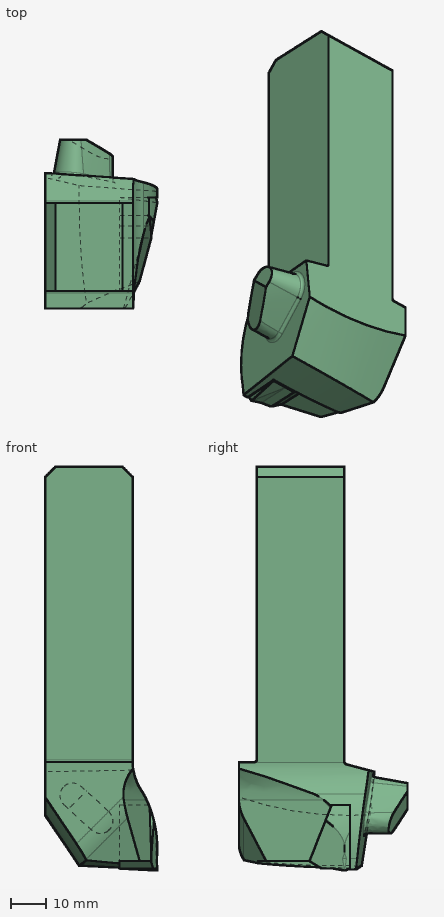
import cadquery as cq
import math


TOTAL_HEIGHT = 115
SHANK_SIDE = 25.0
SHANK_Y = 5.1
SHANK_CHAMFER = 3.0
FRONT_LEDGE_FILLET = 0.6
BACK_LEDGE_FILLET = 0.9
STUB_RISE = 1.7

FRONT_LEDGE_Z = 30.9
BACK_LEDGE_Z = 30.5
BACK_LEDGE_END = (38.6, 28.2)
HEAD_BACK_Y = 41.4
LEFT_CORNER_Z = 15.8
HEEL = (9.7, 1.4)
TOE_BOTTOM_Z = 0.3
TOE_X = 31.9
FLANK_TOP_Z = 30.8
FLANK_MIDDLE = (26.0, 25.5)
FLANK_CREST = (28.1, 21.8)
TOE_MIDDLE = (30.8, 15.0)
TOE_TOP_Z = 3.5

BACK_SLOPE_X = 0.07
BACK_SLOPE_Z = 0.11

RELIEF_CENTRE_Y = 30.7
LEFT_RELIEF_RADIUS = 163.3
BOTTOM_RELIEF_RADIUS = 253

FACET_START = (9.2, 7.9)
FACET_TILT = 30
FACET_DIRECTION = 45
BAND_RADIUS = 10.1

CHIP_FACE_POINT = (22.3, 20.7)
CHIP_DRIFT = 0.27
CHIP_FACE_LEAN = 0.14
GULLET_START_Z = 20.1
GULLET_END = (25.2, 29.2)

INSERT_LEFT_X = 21.2
INSERT_FRONT_X = 30.1
INSERT_BACK_X = 31.6
INSERT_FRONT_Y = 20.1
INSERT_TOP_FRONT_Y = 26.5
INSERT_BACK_Y = 31.6
INSERT_TOP_Z = 18.7
INSERT_LIP_Z = 2.8
INSERT_LIP_END_Y = 23.6
INSERT_BOTTOM_Z = 0.6
INSERT_LAND_Y = 26.9
TIP = (32.0, 30.1)

BOSS_ROUND = (7.8, 21.4)
BOSS_END = (15.8, 14.1)
BOSS_RADIUS = 3.6
BOSS_TIP_Y = 48.1
BOSS_ROOT_Y = 34.0
BOSS_ROOT_SHIFT = 1.0
BOSS_ROOT_GROWTH = 1.8
BOSS_FILLET = 0.9
BOSS_BEVEL_POINT = (11.6, 22.5)
BOSS_BEVEL_SLOPE = 0.31

MARGIN = 11.5
FAR = 69


def outside(point, normal):
    """A large block that fills the side of a plane towards which its normal points."""
    plane = cq.Plane(origin=point, normal=normal)
    return cq.Workplane(plane).rect(4 * FAR, 4 * FAR).extrude(2 * FAR)


def make_shank():
    return (
        cq.Workplane("XY")
        .box(SHANK_SIDE, SHANK_SIDE, TOTAL_HEIGHT - FRONT_LEDGE_Z - STUB_RISE, centered=False)
        .translate((0, SHANK_Y, FRONT_LEDGE_Z + STUB_RISE))
        .faces(">Z")
        .edges("|Y")
        .chamfer(SHANK_CHAMFER)
    )


def side_profile():
    """Head and stub of the shank, outlined in YZ."""
    stub_top = FRONT_LEDGE_Z + STUB_RISE
    shank_back = SHANK_Y + SHANK_SIDE
    body = (
        cq.Workplane("YZ")
        .moveTo(0, -MARGIN)
        .lineTo(0, FRONT_LEDGE_Z)
        .lineTo(SHANK_Y, FRONT_LEDGE_Z)
        .lineTo(SHANK_Y, stub_top)
        .lineTo(shank_back, stub_top)
        .lineTo(shank_back, BACK_LEDGE_Z)
        .lineTo(*BACK_LEDGE_END)
        .lineTo(HEAD_BACK_Y, BACK_LEDGE_END[1])
        .lineTo(HEAD_BACK_Y, -MARGIN)
        .close()
        .extrude(FAR)
    )
    front_root = cq.selectors.NearestToPointSelector((FAR / 2, SHANK_Y, FRONT_LEDGE_Z))
    back_root = cq.selectors.NearestToPointSelector((FAR / 2, shank_back, BACK_LEDGE_Z))
    body = body.edges(front_root).fillet(FRONT_LEDGE_FILLET)
    return body.edges(back_root).fillet(BACK_LEDGE_FILLET)


def front_profile():
    """Head outlined in XZ: flank with a hollow below the shank and a bulging toe."""
    stub_top = FRONT_LEDGE_Z + STUB_RISE
    return (
        cq.Workplane("XZ")
        .moveTo(0, stub_top)
        .lineTo(SHANK_SIDE, stub_top)
        .lineTo(SHANK_SIDE, FLANK_TOP_Z)
        .threePointArc(FLANK_MIDDLE, FLANK_CREST)
        .threePointArc(TOE_MIDDLE, (TOE_X, TOE_TOP_Z))
        .lineTo(TOE_X, TOE_BOTTOM_Z)
        .lineTo(*HEEL)
        .lineTo(0, LEFT_CORNER_Z)
        .close()
        .extrude(-HEAD_BACK_Y)
    )


def relief_cylinder(start, end, radius):
    """A cylinder that touches the XZ line from start to end, with the head on its inner side."""
    dx = end[0] - start[0]
    dz = end[1] - start[1]
    length = math.hypot(dx, dz)
    axis = cq.Vector(dx / length, 0, dz / length)
    inward = cq.Vector(-dz / length, 0, dx / length)
    touch = cq.Vector(start[0], RELIEF_CENTRE_Y, start[1])
    base = touch + inward * radius - axis * (2 * FAR)
    return cq.Workplane(cq.Solid.makeCylinder(radius, 4 * FAR, base, axis))


def facet_cutter():
    """Prism in front of the rounded band and the tilted facet."""
    tilt = math.radians(FACET_TILT)
    direction = math.radians(FACET_DIRECTION)
    band_end = BAND_RADIUS * math.sin(tilt)
    band_depth = BAND_RADIUS * (1 - math.cos(tilt))
    half = tilt / 2
    band_middle = (BAND_RADIUS * math.sin(half), BAND_RADIUS * (1 - math.cos(half)))
    plane = cq.Plane(
        origin=(FACET_START[0], 0, FACET_START[1]),
        xDir=(math.sin(direction), 0, -math.cos(direction)),
        normal=(math.cos(direction), 0, math.sin(direction)),
    )
    return (
        cq.Workplane(plane)
        .moveTo(0, 0)
        .threePointArc(band_middle, (band_end, band_depth))
        .lineTo(FAR, band_depth + (FAR - band_end) * math.tan(tilt))
        .lineTo(FAR, -MARGIN)
        .lineTo(0, -MARGIN)
        .close()
        .extrude(FAR, both=True)
    )


def chip_cutter():
    """Oblique prism on the +X side of the chip face and the gullet above it."""

    def chip_face_x(z):
        return CHIP_FACE_POINT[0] - CHIP_FACE_LEAN * (z - CHIP_FACE_POINT[1])

    profile = (
        cq.Workplane("XZ")
        .moveTo(chip_face_x(-MARGIN), -MARGIN)
        .lineTo(chip_face_x(GULLET_START_Z), GULLET_START_Z)
        .tangentArcPoint(GULLET_END, relative=False)
        .lineTo(FAR, FAR)
        .lineTo(FAR, -MARGIN)
        .close()
        .wires()
        .val()
    )
    drift = cq.Vector(CHIP_DRIFT, 1, 0)
    start = profile.translate(drift * -MARGIN)
    return cq.Workplane(cq.Solid.extrudeLinear(start, [], drift * FAR))


def boss_section(shift, growth, y):
    """Outline around two circles; the upper left one is moved outwards and enlarged."""
    dx = BOSS_END[0] - BOSS_ROUND[0]
    dz = BOSS_END[1] - BOSS_ROUND[1]
    length = math.hypot(dx, dz)
    along = (dx / length, dz / length)
    big = (BOSS_ROUND[0] - shift * along[0], BOSS_ROUND[1] - shift * along[1])
    big_radius = BOSS_RADIUS + growth
    slope = math.asin(growth / (length + shift))
    direction = math.atan2(dz, dx)
    upper = direction + math.pi / 2 - slope
    lower = direction - math.pi / 2 + slope

    def on_circle(centre, radius, angle):
        return (centre[0] + radius * math.cos(angle), centre[1] + radius * math.sin(angle))

    return (
        cq.Workplane("XZ", origin=(0, y, 0))
        .moveTo(*on_circle(big, big_radius, lower))
        .threePointArc(
            on_circle(big, big_radius, direction + math.pi),
            on_circle(big, big_radius, upper),
        )
        .lineTo(*on_circle(BOSS_END, BOSS_RADIUS, upper))
        .threePointArc(
            on_circle(BOSS_END, BOSS_RADIUS, direction),
            on_circle(BOSS_END, BOSS_RADIUS, lower),
        )
        .close()
        .wires()
        .val()
    )


def make_boss():
    """Boss lofted from its root to its flat tip, with a bevel falling to the lower right."""
    tip = boss_section(0, 0, BOSS_TIP_Y)
    root = boss_section(BOSS_ROOT_SHIFT, BOSS_ROOT_GROWTH, BOSS_ROOT_Y)
    boss = cq.Workplane(cq.Solid.makeLoft([root, tip], True))
    bevel_point = (BOSS_BEVEL_POINT[0], BOSS_TIP_Y, BOSS_BEVEL_POINT[1])
    return boss.cut(outside(bevel_point, (BOSS_BEVEL_SLOPE, 1, -BOSS_BEVEL_SLOPE)))


def insert_block(reach):
    """Insert without its flank, its leaning outer side pushed out by reach."""
    side = (
        cq.Workplane("YZ", origin=(INSERT_LEFT_X, 0, 0))
        .moveTo(INSERT_FRONT_Y, INSERT_LIP_Z)
        .lineTo(INSERT_LIP_END_Y, INSERT_BOTTOM_Z)
        .lineTo(INSERT_LAND_Y, INSERT_BOTTOM_Z)
        .lineTo(TIP[1], 0)
        .lineTo(INSERT_BACK_Y, INSERT_BOTTOM_Z)
        .lineTo(INSERT_BACK_Y, INSERT_TOP_Z)
        .lineTo(INSERT_TOP_FRONT_Y, INSERT_TOP_Z)
        .close()
        .extrude(FAR)
    )
    plan = (
        cq.Workplane("XY")
        .moveTo(INSERT_LEFT_X, INSERT_FRONT_Y)
        .lineTo(INSERT_FRONT_X + reach, INSERT_FRONT_Y)
        .lineTo(TIP[0] + reach, TIP[1])
        .lineTo(INSERT_BACK_X + reach, INSERT_BACK_Y)
        .lineTo(INSERT_LEFT_X, INSERT_BACK_Y)
        .close()
        .extrude(INSERT_TOP_Z)
    )
    return side.intersect(plan)


def make_head():
    head = front_profile().intersect(side_profile())
    head = head.intersect(relief_cylinder((0, LEFT_CORNER_Z), HEEL, LEFT_RELIEF_RADIUS))
    head = head.intersect(relief_cylinder(HEEL, (TOE_X, TOE_BOTTOM_Z), BOTTOM_RELIEF_RADIUS))
    back_point = (0, *BACK_LEDGE_END)
    head = head.cut(outside(back_point, (BACK_SLOPE_X, 1, -BACK_SLOPE_Z)))
    return head.cut(facet_cutter()).cut(chip_cutter())


def make_holder():
    """Head, boss and shank in one piece, with the seat of the insert cut out."""
    head = make_head()
    with_boss = head.union(make_boss())
    back_face = next(face for face in with_boss.faces().vals() if face.innerWires())
    boss_foot = with_boss.newObject(back_face.innerWires()[0].Edges())
    holder = boss_foot.fillet(BOSS_FILLET).union(make_shank()).clean()
    clearance = cq.Workplane("XY").box(FAR, INSERT_BACK_Y, INSERT_LIP_Z, centered=False)
    holder = holder.cut(clearance.translate((INSERT_LEFT_X, 0, 0)))
    return holder.cut(insert_block(MARGIN))


def make_insert():
    """Insert block whose flank follows the bulging toe of the head."""
    flank = (
        cq.Workplane("XZ")
        .moveTo(INSERT_LEFT_X, INSERT_BOTTOM_Z)
        .lineTo(TIP[0], 0)
        .lineTo(TOE_X, TOE_TOP_Z)
        .threePointArc(TOE_MIDDLE, FLANK_CREST)
        .lineTo(INSERT_LEFT_X, FLANK_CREST[1])
        .close()
        .extrude(-HEAD_BACK_Y)
    )
    return insert_block(0).intersect(flank)


holder = make_holder()
insert = make_insert()
result = cq.Compound.makeCompound([*holder.vals(), *insert.vals()])